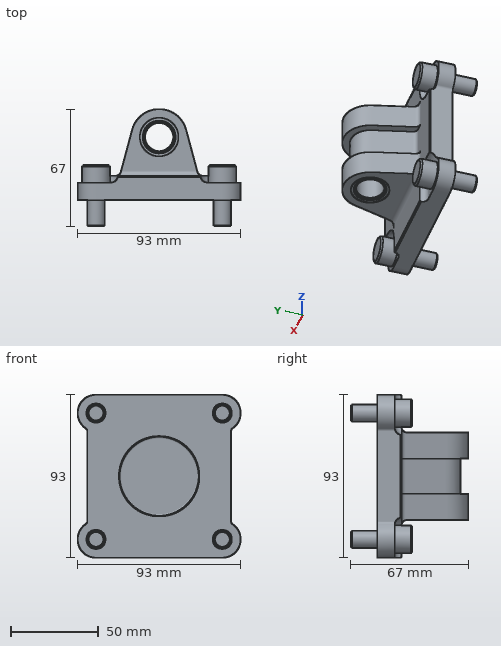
import cadquery as cq
import math


flange_size = 93.0
flange_width = 82.0
flange_thickness = 13.95
ear_radius = 10.5
ear_blend_radius = 1.95
flange_edge_chamfer = 0.7
bolt_offset = flange_size / 2 - ear_radius

seat_height = 10.0
seat_radius = 12.5
seat_floor_fillet = 4.0
clearance_diameter = 11.0

recess_diameter = 45.0
recess_depth = 5.0
recess_rim_chamfer = 0.5
recess_floor_fillet = 1.0

pivot_height = 36.0
lug_radius = 16.0
web_inset = 4.4
web_radius = lug_radius - web_inset
flank_angle = math.radians(15)
eye_length = 50.0
web_length = 20.0
eye_root_fillet = 3.0

bore_diameter = 16.0
step_diameter = 18.0
step_depth = 0.5
edge_chamfer = 0.4
spot_diameter = 22.0
spot_depth = 0.5

shank_diameter = 10.0
head_diameter = 16.0
head_height = 10.0
head_chamfer = 1.0
shank_protrusion = 15.0
shank_chamfer = 0.8

bolt_positions = [
    (x_side * bolt_offset, z_side * bolt_offset)
    for x_side in (-1, 1)
    for z_side in (-1, 1)
]


def cylinder_y(x, z, diameter, y_start, y_end):
    """Cylinder parallel to Y, between two Y levels."""
    return cq.Workplane(
        cq.Solid.makeCylinder(
            diameter / 2, y_end - y_start, cq.Vector(x, y_start, z), cq.Vector(0, 1, 0)
        )
    )


def box_between(x_range, y_range, z_range):
    """Axis-aligned box given by its two limits along each axis."""
    corners = [(min(limits), max(limits)) for limits in (x_range, y_range, z_range)]
    lengths = [high - low for low, high in corners]
    return cq.Workplane(cq.Solid.makeBox(*lengths, cq.Vector(*[low for low, _ in corners])))


def make_flange():
    """Square plate whose corner ears bulge past the straight X sides."""
    half_width = flange_width / 2
    core = box_between(
        (-half_width, half_width),
        (0, flange_thickness),
        (-bolt_offset, bolt_offset),
    )
    for z_side in (-1, 1):
        core = core.union(
            box_between(
                (-bolt_offset, bolt_offset),
                (0, flange_thickness),
                (z_side * bolt_offset, z_side * flange_size / 2),
            )
        )
    for x, z in bolt_positions:
        core = core.union(cylinder_y(x, z, 2 * ear_radius, 0, flange_thickness))

    ear_reach = math.sqrt(ear_radius**2 - (half_width - bolt_offset) ** 2)
    notch_z = bolt_offset - ear_reach
    for x_side in (-1, 1):
        for z_side in (-1, 1):
            notch = (x_side * half_width, flange_thickness / 2, z_side * notch_z)
            core = core.edges(cq.selectors.NearestToPointSelector(notch)).fillet(ear_blend_radius)
    return core.faces(">Y").chamfer(flange_edge_chamfer)


def make_eye_section(radius, length):
    """Round-topped prism with flanks tangent to the top arc, centred on Z = 0."""
    tangent_x = radius * math.cos(flank_angle)
    tangent_y = pivot_height + radius * math.sin(flank_angle)
    foot_y = flange_thickness / 2
    foot_x = tangent_x + (tangent_y - foot_y) * math.tan(flank_angle)
    return (
        cq.Workplane("XY", origin=(0, 0, -length / 2))
        .moveTo(-foot_x, foot_y)
        .lineTo(foot_x, foot_y)
        .lineTo(tangent_x, tangent_y)
        .threePointArc((0, pivot_height + radius), (-tangent_x, tangent_y))
        .close()
        .extrude(length)
    )


def root_selector(length):
    """Edges centred where an eye section of the given length meets the flange."""
    margin = 0.1
    reach = (flange_width / 2 - ear_radius, margin, length / 2 + margin)
    return cq.selectors.BoxSelector(
        (-reach[0], flange_thickness - reach[1], -reach[2]),
        (reach[0], flange_thickness + reach[1], reach[2]),
    )


def add_eye(flange):
    """Add the lugs and, in the gap between them, the inset web, each with its root fillet."""
    body = flange.union(make_eye_section(lug_radius, eye_length))
    body = body.edges(root_selector(eye_length)).fillet(eye_root_fillet)
    gap = box_between(
        (-flange_width / 2, flange_width / 2),
        (flange_thickness, pivot_height + 2 * lug_radius),
        (-web_length / 2, web_length / 2),
    )
    body = body.cut(gap).union(make_eye_section(web_radius, web_length))
    return body.edges("|Z").edges(root_selector(web_length)).fillet(eye_root_fillet)


def make_seat_cutter(x, z):
    """Round-cornered pocket, open to both outer sides of its corner."""
    outward_x = math.copysign(1, x)
    outward_z = math.copysign(1, z)
    x_inner = x - outward_x * seat_radius
    z_inner = z - outward_z * seat_radius
    x_outer = outward_x * flange_size
    z_outer = outward_z * flange_size
    cutter = box_between(
        (x_inner, x_outer), (seat_height, pivot_height), (z_inner, z_outer)
    )
    inner_corner = (x_inner, (seat_height + pivot_height) / 2, z_inner)
    cutter = cutter.edges(cq.selectors.NearestToPointSelector(inner_corner)).fillet(seat_radius)
    floor_edge = (x_inner, seat_height, (z + z_outer) / 2)
    return cutter.edges(cq.selectors.NearestToPointSelector(floor_edge)).fillet(seat_floor_fillet)


def make_recess_cutter():
    """Blind register with a rounded floor edge and a chamfered rim."""
    cutter = cylinder_y(0, 0, recess_diameter, 0, recess_depth)
    cutter = cutter.faces(">Y").edges().fillet(recess_floor_fillet)
    rim = cq.Solid.makeCone(
        recess_diameter / 2 + recess_rim_chamfer,
        recess_diameter / 2,
        recess_rim_chamfer,
        cq.Vector(0, 0, 0),
        cq.Vector(0, 1, 0),
    )
    return cutter.union(cq.Workplane(rim))


def make_bore_cutter():
    """Through bore with a chamfered step and a shallow spot face at each end."""
    half_length = eye_length / 2
    spot_z = half_length - spot_depth
    step_z = spot_z - step_depth
    half_profile = [
        (0, 0),
        (bore_diameter / 2, 0),
        (bore_diameter / 2, step_z - edge_chamfer),
        (bore_diameter / 2 + edge_chamfer, step_z),
        (step_diameter / 2, step_z),
        (step_diameter / 2, spot_z - edge_chamfer),
        (step_diameter / 2 + edge_chamfer, spot_z),
        (spot_diameter / 2, spot_z),
        (spot_diameter / 2, half_length),
        (0, half_length),
    ]
    half = (
        cq.Workplane("XZ")
        .polyline(half_profile)
        .close()
        .revolve(360, (0, 0), (0, 1))
    )
    return half.union(half.mirror("XY")).translate((0, pivot_height, 0))


def make_housing():
    """Flange and pivot eye as one casting."""
    housing = add_eye(make_flange())
    for x, z in bolt_positions:
        housing = housing.cut(make_seat_cutter(x, z))
        housing = housing.cut(cylinder_y(x, z, clearance_diameter, 0, flange_thickness))
    return housing.cut(make_recess_cutter()).cut(make_bore_cutter())


def make_screw(x, z):
    """Cylinder head screw seated on its corner pocket, pointing along -Y."""
    head = cylinder_y(x, z, head_diameter, seat_height, seat_height + head_height)
    head = head.faces(">Y").chamfer(head_chamfer)
    shank = cylinder_y(x, z, shank_diameter, -shank_protrusion, seat_height)
    shank = shank.faces("<Y").chamfer(shank_chamfer)
    return head.union(shank)


housing = make_housing()
screws = [make_screw(x, z) for x, z in bolt_positions]

result = cq.Compound.makeCompound([housing.val(), *[screw.val() for screw in screws]])